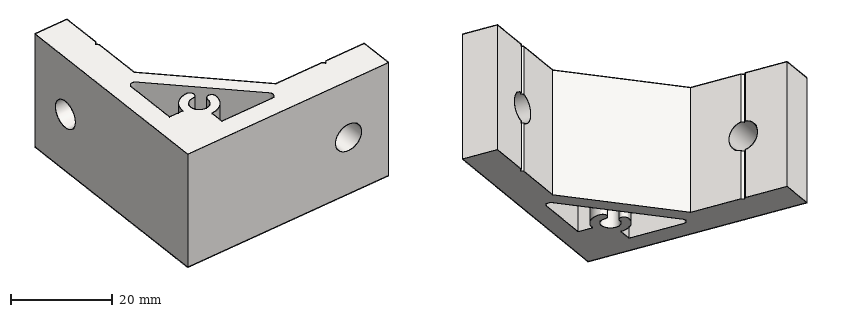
import cadquery as cq
import math

leg_length = 50.0
leg_thickness = 8.0
height = 28.0

web_reach = 20.0
web_thickness = 3.2

pocket_wall = 4.6
pocket_corner_radius = 1.0

block_size = 12.0
clip_inner_radius = 2.1
clip_wall = 2.0
clip_outer_radius = clip_inner_radius + clip_wall
clip_mid_radius = clip_inner_radius + clip_wall / 2

hole_diameter = 6.5
hole_from_end = 10.0
hole_position = leg_length - hole_from_end
groove_width = 1.0
groove_depth = 0.5


def prism(points):
    """Full-height prism over a closed outline."""
    return cq.Workplane("XY").polyline(points).close().extrude(height)


def cylinder(x, y, radius):
    """Full-height vertical cylinder."""
    return cq.Workplane("XY").center(x, y).circle(radius).extrude(height)


def mirror_point(point):
    """Swap a point between the X leg and the Y leg."""
    x, y = point
    return (-y, -x)


def make_body():
    web_end = leg_thickness + web_reach
    return prism([
        (0, 0),
        (-leg_length, 0),
        (-leg_length, leg_thickness),
        (-web_end, leg_thickness),
        (-leg_thickness, web_end),
        (-leg_thickness, leg_length),
        (0, leg_length),
    ])


def make_pocket():
    """Triangular pocket with rounded acute corners, less the corner block and clip."""
    web_distance_sum = 2 * leg_thickness + web_reach - web_thickness * math.sqrt(2)
    far_end = web_distance_sum - pocket_wall
    triangle = prism([
        (-pocket_wall, pocket_wall),
        (-far_end, pocket_wall),
        (-pocket_wall, far_end),
    ])
    triangle = triangle.edges("|Z").edges("<X or >Y").fillet(pocket_corner_radius)
    block = cq.Workplane("XY").box(block_size, block_size, height, centered=False)
    block = block.translate((-block_size, 0, 0))
    return triangle.cut(block).cut(make_clip())


def make_clip():
    """Ring open over its quarter facing the web, with a rounded tip at each end."""
    bore = cylinder(-block_size, block_size, clip_inner_radius)
    ring = cylinder(-block_size, block_size, clip_outer_radius).cut(bore)
    opening = cq.Workplane("XY").box(clip_outer_radius, clip_outer_radius, height, centered=False)
    opening = opening.translate((-block_size - clip_outer_radius, block_size, 0))
    clip = ring.cut(opening)
    upper_tip = (-block_size, block_size + clip_mid_radius)
    for x, y in (upper_tip, mirror_point(upper_tip)):
        clip = clip.union(cylinder(x, y, clip_wall / 2))
    return clip


def make_grooves():
    """Vertical V groove on the inner face of each leg, through the hole centre."""
    profile = [
        (-hole_position - groove_width / 2, leg_thickness),
        (-hole_position, leg_thickness - groove_depth),
        (-hole_position + groove_width / 2, leg_thickness),
    ]
    mirrored_profile = [mirror_point(point) for point in profile]
    return prism(profile).union(prism(mirrored_profile))


def make_holes():
    """One mounting hole through each leg at mid height."""
    radius = hole_diameter / 2
    x_leg_hole = cq.Solid.makeCylinder(
        radius, leg_thickness, cq.Vector(-hole_position, 0, height / 2), cq.Vector(0, 1, 0)
    )
    y_leg_hole = cq.Solid.makeCylinder(
        radius, leg_thickness, cq.Vector(0, hole_position, height / 2), cq.Vector(-1, 0, 0)
    )
    return cq.Workplane(x_leg_hole).add(y_leg_hole).combine()


clip_bore = cylinder(-block_size, block_size, clip_inner_radius)
result = make_body().cut(make_pocket()).cut(clip_bore)
result = result.cut(make_grooves()).cut(make_holes())